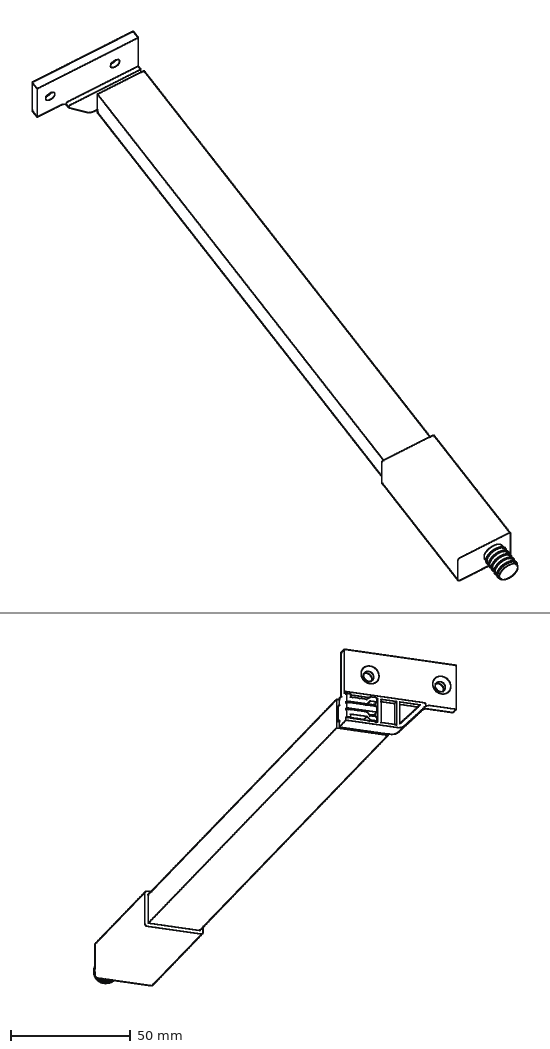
import cadquery as cq
import math

TOTAL_LENGTH = 308.25
TOTAL_WIDTH = 52.25
MID_Z = 8.0

SLEEVE_LENGTH = 60.0
SLEEVE_WIDTH = 26.0
SLEEVE_HEIGHT = 2 * MID_Z
SLEEVE_EDGE_RADIUS = 1.0
SLEEVE_WALL = 1.5

STUD_LENGTH = 12.0
STUD_RADIUS = 5.0
STUD_ROOT_RADIUS = 4.6
STUD_OFFSET = 4.5
THREAD_PITCH = 2.15
CREST_WIDTH = 0.25

PLATE_LENGTH = 50.0
PLATE_HEIGHT = 20.0
PLATE_THICKNESS = 4.0
SCREW_HOLE_RADIUS = 2.25
COUNTERSINK_RADIUS = 4.0
SCREW_HOLES_Y = (6.5, 38.5)

CAP_THICKNESS = 8.0
CAP_TOP_TIP_Y = 13.0
CAP_BOTTOM_TIP_Y = 25.0
CAP_TIP_RADIUS = 1.0
CAP_HEEL_RADIUS = 5.0
WEB_RADIUS = 3.0

POCKET_DEPTH = 2.5
POCKET_RIM = 1.25
SLOPE_RIM = 2.0
RIB_THICKNESS = 1.5
RIBS_Y = (26.65, 35.1)

CLIP_RISE = 1.0
CLIP_BAR_HEIGHT = 2.6
CLIP_GAP = 0.5
CLIP_ARM_HEIGHT = 2.1
CLIP_ROOT_WIDTH = 1.7
CLIP_TIP_Y = 36.6
CLIP_BEND_START_Y = 41.0
CLIP_BEND_END_Y = 39.5
CLIP_HOOK_HEIGHT = 1.9

NECK_LENGTH = 1.3
NECK_WIDTH = 13.0
NECK_HEIGHT = 7.0

cap_x = CLIP_RISE
cap_back_x = cap_x + CAP_THICKNESS
plate_x = cap_x + (CAP_THICKNESS - PLATE_THICKNESS) / 2
pocket_floor_x = cap_x + POCKET_DEPTH
bar_x = cap_back_x + NECK_LENGTH
stud_x = TOTAL_LENGTH - STUD_LENGTH
sleeve_x = stud_x - SLEEVE_LENGTH

bar_width = SLEEVE_WIDTH - 2 * SLEEVE_WALL
bar_height = SLEEVE_HEIGHT - 2 * SLEEVE_WALL
bar_length = stud_x - SLEEVE_WALL - bar_x
bar_bottom_z = MID_Z - bar_height / 2
bar_top_z = MID_Z + bar_height / 2
bar_y = TOTAL_WIDTH - SLEEVE_WIDTH / 2
stud_y = bar_y + STUD_OFFSET

slope_angle = math.atan2(bar_height, CAP_BOTTOM_TIP_Y - CAP_TOP_TIP_Y)


def slope_y(z):
    """Y of the sloping side of the cap at height z."""
    return CAP_TOP_TIP_Y + (bar_top_z - z) / math.tan(slope_angle)


def prism(points, x_start, x_end):
    """Polygon given as (y, z) points, extruded along X."""
    return cq.Workplane("YZ", origin=(x_start, 0, 0)).polyline(points).close().extrude(x_end - x_start)


def block(x_range, y_range, z_range):
    """Box between the given limits."""
    size = [high - low for low, high in (x_range, y_range, z_range)]
    return cq.Workplane().box(*size, centered=False).translate((x_range[0], y_range[0], z_range[0]))


def make_screw_hole(hole_y):
    """Through hole with a conical countersink in the -X face of the plate."""
    sink_depth = COUNTERSINK_RADIUS - SCREW_HOLE_RADIUS
    profile = [
        (0, 0),
        (0, COUNTERSINK_RADIUS),
        (sink_depth, SCREW_HOLE_RADIUS),
        (PLATE_THICKNESS, SCREW_HOLE_RADIUS),
        (PLATE_THICKNESS, 0),
    ]
    return (
        cq.Workplane("XY", origin=(plate_x, hole_y, bar_top_z + PLATE_HEIGHT / 2))
        .polyline(profile)
        .close()
        .revolve(360, (0, 0, 0), (1, 0, 0))
    )


def make_plate():
    """Screw plate whose lower web blends into the slope of the cap."""
    plate_top_z = bar_top_z + PLATE_HEIGHT
    outline = [
        (0, plate_top_z),
        (PLATE_LENGTH, plate_top_z),
        (PLATE_LENGTH, MID_Z),
        (slope_y(MID_Z), MID_Z),
        (CAP_TOP_TIP_Y, bar_top_z),
        (0, bar_top_z),
    ]
    plate = prism(outline, plate_x, plate_x + PLATE_THICKNESS)
    inner_corner = cq.selectors.NearestToPointSelector(
        (plate_x + PLATE_THICKNESS / 2, CAP_TOP_TIP_Y, bar_top_z)
    )
    plate = plate.edges(inner_corner).fillet(WEB_RADIUS)
    for hole_y in SCREW_HOLES_Y:
        plate = plate.cut(make_screw_hole(hole_y))
    return plate


def make_cap_body():
    """Cap with one sloping side, rounded where the slope meets its top and bottom."""
    outline = [
        (PLATE_LENGTH, bar_bottom_z),
        (PLATE_LENGTH, bar_top_z),
        (CAP_TOP_TIP_Y, bar_top_z),
        (CAP_BOTTOM_TIP_Y, bar_bottom_z),
    ]
    cap = prism(outline, cap_x, cap_back_x)
    cap_mid_x = cap_x + CAP_THICKNESS / 2
    tip = cq.selectors.NearestToPointSelector((cap_mid_x, CAP_TOP_TIP_Y, bar_top_z))
    heel = cq.selectors.NearestToPointSelector((cap_mid_x, CAP_BOTTOM_TIP_Y, bar_bottom_z))
    cap = cap.edges(heel).fillet(CAP_HEEL_RADIUS)
    return cap.edges(tip).fillet(CAP_TIP_RADIUS)


def make_pocket():
    """Recess in the -X face of the cap, divided by two upright ribs."""
    low_z = bar_bottom_z + POCKET_RIM
    high_z = bar_top_z - POCKET_RIM
    slope_shift = SLOPE_RIM / math.sin(slope_angle)
    outline = [
        (PLATE_LENGTH - POCKET_RIM, low_z),
        (PLATE_LENGTH - POCKET_RIM, high_z),
        (slope_y(high_z) + slope_shift, high_z),
        (slope_y(low_z) + slope_shift, low_z),
    ]
    pocket = prism(outline, cap_x, pocket_floor_x)
    for rib_y in RIBS_Y:
        rib_range = (rib_y - RIB_THICKNESS / 2, rib_y + RIB_THICKNESS / 2)
        pocket = pocket.cut(block((cap_x, pocket_floor_x), rib_range, (low_z, high_z)))
    return pocket


def make_clip():
    """Middle bar and two mirrored hooked arms that rise from the recess floor past the cap face."""
    half_bar = CLIP_BAR_HEIGHT / 2
    clip = block((0, pocket_floor_x), (CLIP_TIP_Y, PLATE_LENGTH), (MID_Z - half_bar, MID_Z + half_bar))
    arm_inner = half_bar + CLIP_GAP
    arm_outer = arm_inner + CLIP_ARM_HEIGHT
    pocket_edge = bar_height / 2 - POCKET_RIM
    hook_inner = pocket_edge - CLIP_HOOK_HEIGHT
    for side in (-1, 1):
        arm_outline = [
            (PLATE_LENGTH, arm_inner),
            (CLIP_BEND_START_Y, arm_inner),
            (CLIP_BEND_END_Y, hook_inner),
            (CLIP_TIP_Y, hook_inner),
            (CLIP_TIP_Y, pocket_edge),
            (CLIP_BEND_END_Y, pocket_edge),
            (CLIP_BEND_START_Y, arm_outer),
            (PLATE_LENGTH - CLIP_ROOT_WIDTH, arm_outer),
            (PLATE_LENGTH - CLIP_ROOT_WIDTH, pocket_edge),
            (PLATE_LENGTH, pocket_edge),
        ]
        arm_outline = [(y, MID_Z + side * offset) for y, offset in arm_outline]
        clip = clip.union(prism(arm_outline, 0, pocket_floor_x))
    return clip


def make_neck():
    """Short block that joins the cap to the end of the bar."""
    half_height = NECK_HEIGHT / 2
    return block(
        (cap_back_x, bar_x),
        (PLATE_LENGTH - NECK_WIDTH, PLATE_LENGTH),
        (MID_Z - half_height, MID_Z + half_height),
    )


def make_bracket():
    cap = make_cap_body().union(make_plate())
    return cap.cut(make_pocket()).union(make_clip()).union(make_neck())


def make_bar():
    return cq.Workplane("YZ", origin=(bar_x, bar_y, MID_Z)).rect(bar_width, bar_height).extrude(bar_length)


def make_sleeve():
    sleeve = (
        cq.Workplane("YZ", origin=(sleeve_x, bar_y, MID_Z))
        .rect(SLEEVE_WIDTH, SLEEVE_HEIGHT)
        .extrude(SLEEVE_LENGTH)
        .edges("|X")
        .fillet(SLEEVE_EDGE_RADIUS)
    )
    return sleeve.cut(make_bar())


def stud_disc(start, radius, length):
    """Disc on the stud axis that starts at a distance from the sleeve."""
    return cq.Workplane("YZ", origin=(stud_x + start, stud_y, MID_Z)).circle(radius).extrude(length)


def make_stud():
    stud = stud_disc(0, STUD_ROOT_RADIUS, STUD_LENGTH)
    crest_count = math.floor(STUD_LENGTH / THREAD_PITCH)
    for number in range(1, crest_count + 1):
        crest_start = number * THREAD_PITCH - CREST_WIDTH / 2
        stud = stud.union(stud_disc(crest_start, STUD_RADIUS, CREST_WIDTH))
    return stud


bracket = make_bracket()
bar = make_bar()
sleeve = make_sleeve()
stud = make_stud()

result = cq.Compound.makeCompound([bracket.val(), bar.val(), sleeve.val(), stud.val()])